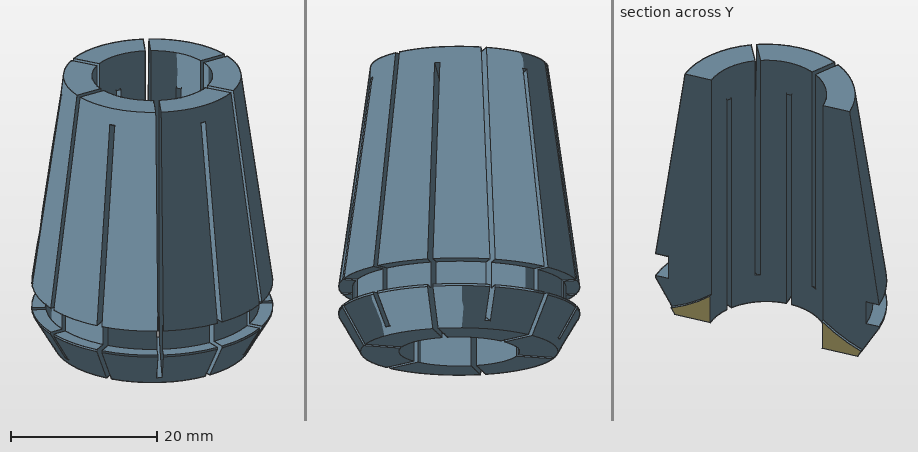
import cadquery as cq
import math

height = 40.0
largest_radius = 16.5
bore_radius = 8.25

main_cone_base = 9.1
main_cone_angle = 8.0
top_radius = largest_radius - (height - main_cone_base) * math.tan(math.radians(main_cone_angle))

groove_radius = 14.6
groove_base = 5.5
rim_height = 0.3
rim_base = groove_base - rim_height
nose_cone_angle = 30.0
nose_radius = largest_radius - rim_base * math.tan(math.radians(nose_cone_angle))

slots_per_end = 6
slot_spacing = 360.0 / slots_per_end
slot_width = 0.75
slot_reach = largest_radius + 1.0
saw_radius = 21.0

floor_at_bore = 4.5
floor_at_nose = 1.0
ceiling_at_bore = height - 5.3
ceiling_at_cone = height - 2.3

nose_floor_radius = nose_radius + floor_at_nose * math.tan(math.radians(nose_cone_angle))
cone_ceiling_radius = top_radius + (height - ceiling_at_cone) * math.tan(math.radians(main_cone_angle))


def make_body():
    """Ring of revolution carrying both cones, the groove and the bore."""
    half_section = [
        (bore_radius, 0),
        (nose_radius, 0),
        (largest_radius, rim_base),
        (largest_radius, groove_base),
        (groove_radius, groove_base),
        (groove_radius, main_cone_base),
        (largest_radius, main_cone_base),
        (top_radius, height),
        (bore_radius, height),
    ]
    profile = cq.Workplane("XZ").polyline(half_section).close()
    return profile.revolve(360, (0, 0, 0), (0, 1, 0))


def saw_arc_middle(start, end):
    """Middle point of the saw arc from start to end, bulging to the right of that direction."""
    span_x = end[0] - start[0]
    span_z = end[1] - start[1]
    chord = math.hypot(span_x, span_z)
    bulge = saw_radius - math.sqrt(saw_radius**2 - (chord / 2) ** 2)
    return (
        (start[0] + end[0]) / 2 + bulge * span_z / chord,
        (start[1] + end[1]) / 2 - bulge * span_x / chord,
    )


def make_slot(height_at_bore, outer_end, open_height):
    """Slot along +X, open at one height and closed at the other by a saw arc."""
    bore_end = (math.sqrt(bore_radius**2 - (slot_width / 2) ** 2), height_at_bore)
    if open_height > height_at_bore:
        arc_middle = saw_arc_middle(bore_end, outer_end)
    else:
        arc_middle = saw_arc_middle(outer_end, bore_end)
    side = (
        cq.Workplane("XZ")
        .moveTo(*bore_end)
        .threePointArc(arc_middle, outer_end)
        .lineTo(slot_reach, outer_end[1])
        .lineTo(slot_reach, open_height)
        .lineTo(bore_radius / 2, open_height)
        .lineTo(bore_radius / 2, height_at_bore)
        .close()
    )
    return side.extrude(slot_width / 2, both=True)


def cut_slots(body, slot, first_angle):
    """Cut one slot at every slot spacing around the axis."""
    for index in range(slots_per_end):
        angle = first_angle + index * slot_spacing
        body = body.cut(slot.rotate((0, 0, 0), (0, 0, 1), angle))
    return body


top_slot = make_slot(floor_at_bore, (nose_floor_radius, floor_at_nose), height)
bottom_slot = make_slot(ceiling_at_bore, (cone_ceiling_radius, ceiling_at_cone), 0)

result = make_body()
result = cut_slots(result, top_slot, 0)
result = cut_slots(result, bottom_slot, slot_spacing / 2)